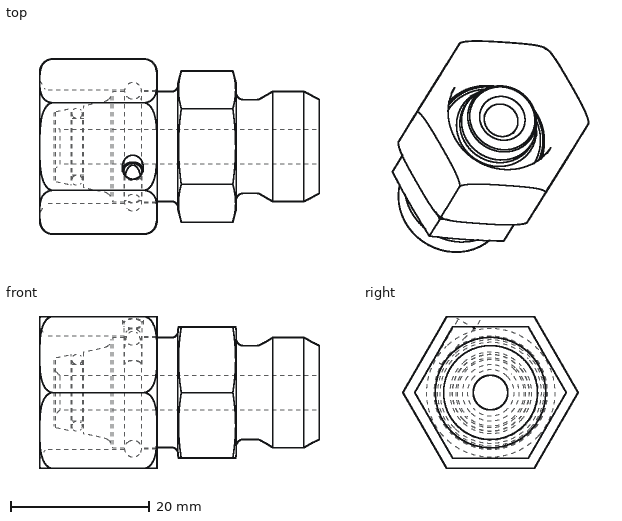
import cadquery as cq
import math

LENGTH = 40.5
COS_30 = math.cos(math.radians(30))
SIN_30 = math.sin(math.radians(30))
TAN_30 = math.tan(math.radians(30))

NUT_LENGTH = 17.0
NUT_FLATS = 22.0
NUT_CORNER_RADIUS = NUT_FLATS / 2 / COS_30
NUT_EDGE_ROUND = 1.95
NUT_BORE_RADIUS = 16.45 / 2
NUT_REAR_RADIUS = 16.25 / 2
MOUTH_FLAT_RADIUS = 9.85
MOUTH_EDGE_ROUND = 1.0
MOUTH_THROAT_ROUND = 0.5
MOUTH_CONE_SLOPE = 30.0

WIRE_DIAMETER = 2.45
WIRE_RING_RADIUS = 8.1
WIRE_X = 13.5

WIRE_HOLE_DIAMETER = 2.65
WIRE_MOUTH_DIAMETER = 3.05
WIRE_MOUTH_DEPTH = 1.15
WIRE_HOLE_TILT = 30.0

TIP_X = 2.02
TIP_RADIUS = 4.8
TIP_CHAMFER = 0.25
CONE_HALF_ANGLE = 12.0
CONE_END_RADIUS = 6.55
BORE_DIAMETER = 5.0
BORE_MOUTH_DIAMETER = 6.72

SHOULDER_FILLET_RADIUS = 7.35
SHOULDER_X = 10.3
COLLAR_RADIUS = 15.95 / 2
COLLAR_CHAMFER = 0.3
COLLAR_FILLET = 0.85

HEX_FLATS = 19.0
HEX_CORNER_RADIUS = HEX_FLATS / 2 / COS_30
HEX_START_X = 20.0
HEX_END_X = 28.47
HEX_CHAMFER_RADIUS = 9.1
HEX_CHAMFER_ANGLE = 15.0

NECK_FILLET = 1.0
NECK_RADIUS = 13.6 / 2
STUD_RADIUS = 16.0 / 2
STUD_START_X = 33.78
STUD_CHAMFER_X = 38.27
STUD_END_RADIUS = 6.8

O_RING_INNER_RADIUS = 8.2 / 2
O_RING_OUTER_RADIUS = 5.6
O_RING_SECTION = O_RING_OUTER_RADIUS - O_RING_INNER_RADIUS
GROOVE_START_X = 4.5
GROOVE_END_X = 6.28


def revolve_about_x(profile):
    """Turn a closed outline of (X, radius) points about the X axis."""
    return profile.close().revolve(360, (0, 0, 0), (1, 0, 0))


def ring(x, ring_radius, section_diameter):
    """Round-section ring centred on the X axis."""
    section = cq.Workplane("XY").center(x, ring_radius).circle(section_diameter / 2)
    return section.revolve(360, (0, -ring_radius, 0), (1, -ring_radius, 0))


def hexagon(start_x, end_x, corner_radius):
    """Hexagonal bar along X with flats facing up and down."""
    bar = cq.Workplane("YZ", origin=(start_x, 0, 0)).polygon(6, 2 * corner_radius)
    return bar.extrude(end_x - start_x)


def drill(diameter, depth):
    """Cylinder that enters the nut's top flat and runs down and towards -Y, tangent to the wire ring."""
    tilt = math.radians(WIRE_HOLE_TILT)
    down = cq.Vector(0, -math.sin(tilt), -math.cos(tilt))
    tangent_point = cq.Vector(WIRE_X, -WIRE_RING_RADIUS * math.cos(tilt), WIRE_RING_RADIUS * math.sin(tilt))
    rise = (NUT_FLATS / 2 - tangent_point.z) / math.cos(tilt)
    entry = tangent_point - down * rise
    start = entry - down * diameter
    return cq.Workplane(cq.Solid.makeCylinder(diameter / 2, diameter + depth, start, down))


def nut_envelope():
    """Round outline that rolls the hexagon corners into both end faces."""
    face_radius = NUT_CORNER_RADIUS - NUT_EDGE_ROUND
    return revolve_about_x(
        cq.Workplane("XY")
        .lineTo(0, face_radius)
        .radiusArc((NUT_EDGE_ROUND, NUT_CORNER_RADIUS), NUT_EDGE_ROUND)
        .lineTo(NUT_LENGTH - NUT_EDGE_ROUND, NUT_CORNER_RADIUS)
        .radiusArc((NUT_LENGTH, face_radius), NUT_EDGE_ROUND)
        .lineTo(NUT_LENGTH, 0)
    )


def nut_cavity():
    """Conical mouth with rounded edges, main bore and slightly tighter bore behind the wire."""
    slope = math.radians(MOUTH_CONE_SLOPE)
    cone_radius = MOUTH_FLAT_RADIUS - MOUTH_EDGE_ROUND * math.sin(slope)
    cone_x = MOUTH_EDGE_ROUND * (1 - math.cos(slope))
    throat_radius = NUT_BORE_RADIUS + MOUTH_THROAT_ROUND * (1 - math.sin(slope))
    throat_x = cone_x + (cone_radius - throat_radius) * math.tan(slope)
    bore_x = throat_x + MOUTH_THROAT_ROUND * math.cos(slope)
    return revolve_about_x(
        cq.Workplane("XY")
        .lineTo(0, MOUTH_FLAT_RADIUS)
        .radiusArc((cone_x, cone_radius), -MOUTH_EDGE_ROUND)
        .lineTo(throat_x, throat_radius)
        .radiusArc((bore_x, NUT_BORE_RADIUS), -MOUTH_THROAT_ROUND)
        .lineTo(WIRE_X, NUT_BORE_RADIUS)
        .lineTo(WIRE_X, NUT_REAR_RADIUS)
        .lineTo(NUT_LENGTH, NUT_REAR_RADIUS)
        .lineTo(NUT_LENGTH, 0)
    )


def make_nut(wire):
    nut = hexagon(0, NUT_LENGTH, NUT_CORNER_RADIUS).intersect(nut_envelope())
    nut = nut.cut(nut_cavity())
    tilt = math.radians(WIRE_HOLE_TILT)
    tangent_depth = (NUT_FLATS / 2 - WIRE_RING_RADIUS * math.sin(tilt)) / math.cos(tilt)
    nut = nut.cut(drill(WIRE_MOUTH_DIAMETER, WIRE_MOUTH_DEPTH))
    nut = nut.cut(drill(WIRE_HOLE_DIAMETER, tangent_depth))
    return nut.cut(wire)


def turned_blank():
    """Nipple, collar, neck and stud as one turned shape."""
    cone_start_radius = TIP_RADIUS + TIP_CHAMFER
    cone_length = (CONE_END_RADIUS - cone_start_radius) / math.tan(math.radians(CONE_HALF_ANGLE))
    stud_cone_radius = NECK_RADIUS + NECK_FILLET * (1 - COS_30)
    stud_cone_x = STUD_START_X - (STUD_RADIUS - stud_cone_radius) / TAN_30
    neck_end_x = stud_cone_x - NECK_FILLET * SIN_30
    return revolve_about_x(
        cq.Workplane("XY")
        .moveTo(TIP_X, 0)
        .lineTo(TIP_X, TIP_RADIUS)
        .lineTo(TIP_X + TIP_CHAMFER, cone_start_radius)
        .lineTo(TIP_X + TIP_CHAMFER + cone_length, CONE_END_RADIUS)
        .tangentArcPoint((SHOULDER_X, SHOULDER_FILLET_RADIUS), relative=False)
        .lineTo(SHOULDER_X, COLLAR_RADIUS - COLLAR_CHAMFER)
        .lineTo(SHOULDER_X + COLLAR_CHAMFER, COLLAR_RADIUS)
        .lineTo(HEX_START_X - COLLAR_FILLET, COLLAR_RADIUS)
        .radiusArc((HEX_START_X, COLLAR_RADIUS + COLLAR_FILLET), -COLLAR_FILLET)
        .lineTo(HEX_END_X, COLLAR_RADIUS + COLLAR_FILLET)
        .lineTo(HEX_END_X, NECK_RADIUS + NECK_FILLET)
        .radiusArc((HEX_END_X + NECK_FILLET, NECK_RADIUS), -NECK_FILLET)
        .lineTo(neck_end_x, NECK_RADIUS)
        .radiusArc((stud_cone_x, stud_cone_radius), -NECK_FILLET)
        .lineTo(STUD_START_X, STUD_RADIUS)
        .lineTo(STUD_CHAMFER_X, STUD_RADIUS)
        .lineTo(LENGTH, STUD_END_RADIUS)
        .lineTo(LENGTH, 0)
    )


def body_hexagon():
    """Wrench hexagon with a shallow cone cut on both ends."""
    slope = math.tan(math.radians(HEX_CHAMFER_ANGLE))
    chamfer = (HEX_CORNER_RADIUS - HEX_CHAMFER_RADIUS) * slope
    envelope = revolve_about_x(
        cq.Workplane("XY")
        .moveTo(HEX_START_X, 0)
        .lineTo(HEX_START_X, HEX_CHAMFER_RADIUS)
        .lineTo(HEX_START_X + chamfer, HEX_CORNER_RADIUS)
        .lineTo(HEX_END_X - chamfer, HEX_CORNER_RADIUS)
        .lineTo(HEX_END_X, HEX_CHAMFER_RADIUS)
        .lineTo(HEX_END_X, 0)
    )
    return hexagon(HEX_START_X, HEX_END_X, HEX_CORNER_RADIUS).intersect(envelope)


def o_ring_groove():
    groove = cq.Workplane("YZ", origin=(GROOVE_START_X, 0, 0))
    groove = groove.circle(CONE_END_RADIUS).circle(O_RING_INNER_RADIUS)
    return groove.extrude(GROOVE_END_X - GROOVE_START_X)


def through_bore():
    """Bore along the whole body with a 45 degree countersink at the tip."""
    bore_radius = BORE_DIAMETER / 2
    mouth_radius = BORE_MOUTH_DIAMETER / 2
    return revolve_about_x(
        cq.Workplane("XY")
        .moveTo(TIP_X, 0)
        .lineTo(TIP_X, mouth_radius)
        .lineTo(TIP_X + mouth_radius - bore_radius, bore_radius)
        .lineTo(LENGTH, bore_radius)
        .lineTo(LENGTH, 0)
    )


def make_body(wire):
    body = turned_blank().union(body_hexagon())
    return body.cut(through_bore()).cut(o_ring_groove()).cut(wire)


wire = ring(WIRE_X, WIRE_RING_RADIUS, WIRE_DIAMETER)
o_ring = ring(
    (GROOVE_START_X + GROOVE_END_X) / 2,
    O_RING_INNER_RADIUS + O_RING_SECTION / 2,
    O_RING_SECTION,
)
nut = make_nut(wire)
body = make_body(wire)

result = cq.Compound.makeCompound([nut.val(), body.val(), wire.val(), o_ring.val()])